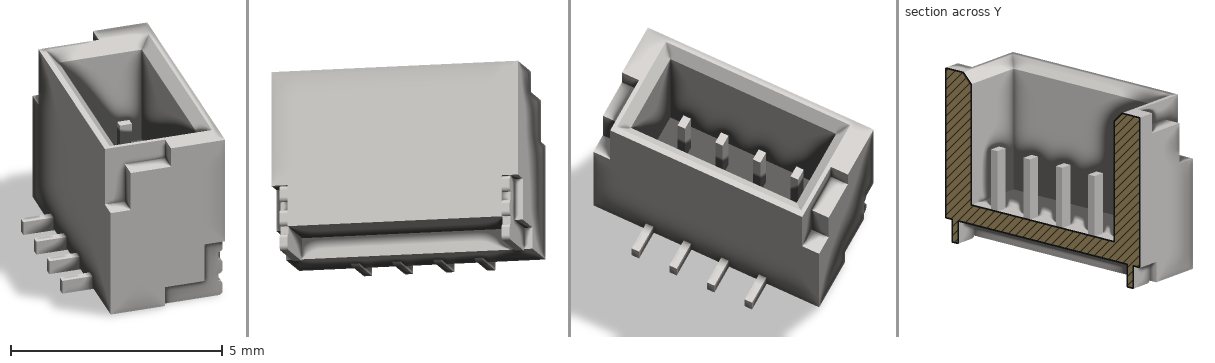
import cadquery as cq
import math

length = 6
depth = 2.85
height = 4.25
standoff = 0.05

mouth_end_wall = 0.55
mouth_side_wall = 0.15
mouth_bevel = 0.245
floor_height = 1.0

corner_cut_width = 0.45
corner_cut_reach = 1.5
corner_cut_leg = 0.5

recess_reach = 1.5
recess_leg = 0.51

terminal_thickness = 0.2
tab_inset = 0.2
tab_groove_depth = 0.1
tab_groove_height = 0.2
tab_groove_count = 2
tab_corner_radius = tab_groove_depth

pin_count = 4
pin_pitch = length / (pin_count + 2)
pin_overhang = 0.75
tail_height = 0.35
tail_bend_inset = 0.43
tail_bend_diameter = 0.5
post_back = 0.9
post_depth = 0.3
post_tip = 2.5

front = -depth
half_length = length / 2


def block(x_range, y_range, z_range):
    """Box between two limits on each axis."""
    (x0, x1), (y0, y1), (z0, z1) = x_range, y_range, z_range
    return cq.Workplane("XY").box(x1 - x0, y1 - y0, z1 - z0, centered=False).translate((x0, y0, z0))


def extrude_side(profile, x_start, thickness):
    """Extrude a closed YZ profile along +X from x_start."""
    return profile.extrude(thickness).translate((x_start, 0, 0))


def arc_middle_offset(radius):
    """Distance from the middle of a quarter-circle corner to each of the sides it joins."""
    return radius * (1 - math.cos(math.radians(45)))


def both_ends(left_body):
    """Join a feature of the -X end with its mirror image at the +X end."""
    return left_body.union(left_body.mirror("YZ"))


def cavity():
    mouth_length = length - 2 * mouth_end_wall
    mouth_width = depth - 2 * mouth_side_wall
    straight_top = height - mouth_bevel
    opening = (
        cq.Workplane("XY", origin=(0, -depth / 2, height))
        .rect(mouth_length, mouth_width)
        .extrude(-mouth_bevel, taper=45)
    )
    well = (
        cq.Workplane("XY", origin=(0, -depth / 2, floor_height))
        .rect(mouth_length - 2 * mouth_bevel, mouth_width - 2 * mouth_bevel)
        .extrude(straight_top - floor_height)
    )
    return opening.union(well)


def corner_cuts():
    profile = cq.Workplane("YZ").polyline([
        (front, height),
        (front, height - corner_cut_reach),
        (front + corner_cut_leg, height - corner_cut_reach),
        (front + corner_cut_leg, height - corner_cut_leg),
        (front + corner_cut_reach, height - corner_cut_leg),
        (front + corner_cut_reach, height),
    ]).close()
    return both_ends(extrude_side(profile, -half_length, corner_cut_width))


def tab_recesses():
    """Upright leg at each end, joined by a channel along the bottom back edge."""
    upright = block(
        (-half_length, -half_length + tab_inset + terminal_thickness),
        (-recess_leg, 0),
        (0, recess_reach),
    )
    channel = block((-half_length, half_length), (-recess_reach, 0), (0, recess_leg))
    return both_ends(upright).union(channel)


def solder_tabs():
    """L-shaped plates whose back edge is toothed by grooves with rounded lips."""
    radius = tab_corner_radius
    arc_mid = arc_middle_offset(radius)
    bottom = -standoff
    tab_height = recess_reach - bottom
    tooth_height = (tab_height - tab_groove_count * tab_groove_height) / (tab_groove_count + 1)

    profile = cq.Workplane("YZ").moveTo(-radius, bottom)
    for tooth in range(tab_groove_count + 1):
        tooth_bottom = bottom + tooth * (tooth_height + tab_groove_height)
        tooth_top = tooth_bottom + tooth_height
        if tooth > 0:
            profile = profile.lineTo(-tab_groove_depth, tooth_bottom)
        profile = (
            profile.threePointArc((-arc_mid, tooth_bottom + arc_mid), (0, tooth_bottom + radius))
            .lineTo(0, tooth_top - radius)
            .threePointArc((-arc_mid, tooth_top - arc_mid), (-radius, tooth_top))
        )
    profile = (
        profile.lineTo(-recess_leg, recess_reach)
        .lineTo(-recess_leg, recess_leg)
        .lineTo(-recess_reach, recess_leg)
        .lineTo(-recess_reach, bottom + radius)
        .threePointArc((-recess_reach + arc_mid, bottom + arc_mid), (-recess_reach + radius, bottom))
        .close()
    )
    return both_ends(extrude_side(profile, -half_length + tab_inset, terminal_thickness))


def pin(x_center):
    """Tail with a rounded heel under the housing, and an upright post in the cavity."""
    radius = tail_bend_diameter / 2
    arc_mid = arc_middle_offset(radius)
    tip_y = front - pin_overhang
    bend_y = front + tail_bend_inset
    heel_y = bend_y + radius
    bottom = -standoff
    top = bottom + tail_height
    x_start = x_center - terminal_thickness / 2
    tail_profile = (
        cq.Workplane("YZ").moveTo(tip_y, bottom)
        .lineTo(bend_y, bottom)
        .threePointArc((heel_y - arc_mid, bottom + arc_mid), (heel_y, bottom + radius))
        .lineTo(heel_y, top)
        .lineTo(tip_y, top)
        .close()
    )
    post = block(
        (x_start, x_start + terminal_thickness),
        (-post_back - post_depth, -post_back),
        (recess_leg, post_tip),
    )
    return extrude_side(tail_profile, x_start, terminal_thickness).union(post)


housing = block((-half_length, half_length), (front, 0), (0, height))
result = housing.cut(cavity()).cut(corner_cuts()).cut(tab_recesses()).union(solder_tabs())

for index in range(pin_count):
    result = result.union(pin((index - (pin_count - 1) / 2) * pin_pitch))